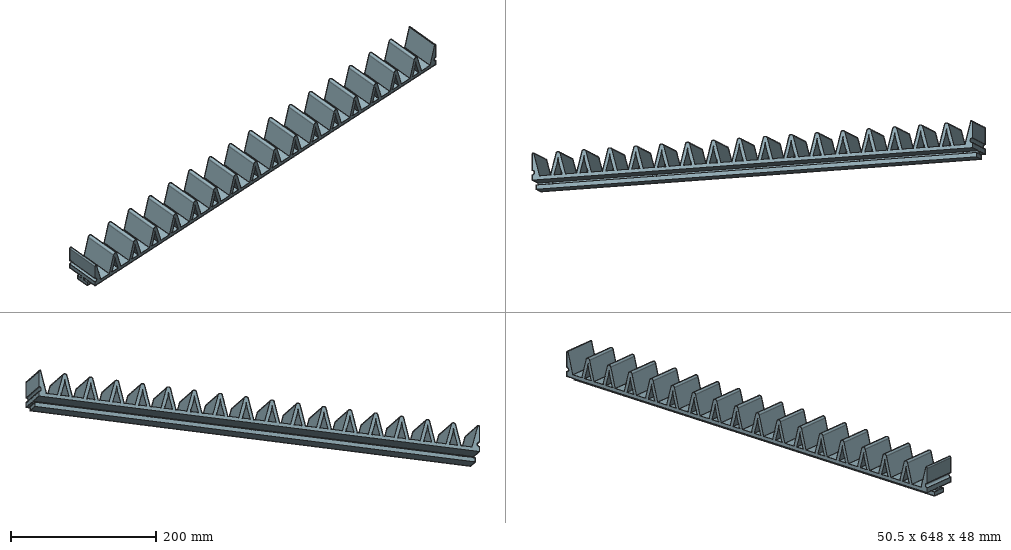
import cadquery as cq
import math

length = 648.0
width = 50.5
height = 48.0

foot_width = 19.5
foot_height = 6.1
neck_width = 5.0
neck_height = 4.0
plate_thickness = 5.3
plate_bottom = foot_height + neck_height
plate_top = plate_bottom + plate_thickness

pad_width = 6.5
pad_length = 6.0
pad_count = 5
teeth_per_pad = 4

tooth_count = 16
pitch = length / (tooth_count + 1)
tooth_top = 47.0
tooth_half_base = 11.0
flank_angle = math.radians(15)

end_tooth_base = 11.0
end_tip_radius = 2.0

hollow_half_base = 6.0
hollow_half_shoulder = 1.0
hollow_shoulder = 31.0
hollow_apex = 39.0
web_thickness = 6.5

cross_hole_radius = 3.0
cross_hole_height = plate_top + 5.0


def centered_positions(count, spacing):
    """Y positions of evenly spaced features centered on the rail."""
    return [(index - (count - 1) / 2) * spacing for index in range(count)]


def extrude_along_x(outline, thickness=width):
    """Extrude a closed Y-Z outline symmetrically about X = 0."""
    return outline.extrude(thickness / 2, both=True)


def block(x_size, y_size, bottom, top, y=0.0):
    return (
        cq.Workplane("XY")
        .workplane(offset=bottom)
        .center(0, y)
        .rect(x_size, y_size)
        .extrude(top - bottom)
    )


def tooth(y):
    """Full tooth with sloped flanks and a round tip tangent to both of them."""
    sharp_half_tip = tooth_half_base - (tooth_top - plate_top) * math.tan(flank_angle)
    tip_radius = sharp_half_tip / math.tan((math.pi / 2 - flank_angle) / 2)
    tip_half_width = tip_radius * math.cos(flank_angle)
    tip_start = tooth_top - tip_radius * (1 - math.sin(flank_angle))
    outline = (
        cq.Workplane("YZ")
        .moveTo(y - tooth_half_base, plate_top)
        .lineTo(y + tooth_half_base, plate_top)
        .lineTo(y + tip_half_width, tip_start)
        .threePointArc((y, tooth_top), (y - tip_half_width, tip_start))
        .close()
    )
    return extrude_along_x(outline)


def end_tooth(side):
    """Half tooth at the end of the rail; side is -1 or +1 along Y."""
    end = side * length / 2
    tip_width = end_tooth_base - (height - plate_top) * math.tan(flank_angle)
    outline = (
        cq.Workplane("YZ")
        .moveTo(end, plate_top)
        .lineTo(end, height - end_tip_radius)
        .radiusArc((end - side * end_tip_radius, height), -side * end_tip_radius)
        .lineTo(end - side * tip_width, height)
        .lineTo(end - side * end_tooth_base, plate_top)
        .close()
    )
    return extrude_along_x(outline)


def hollow(y):
    """Pointed recess in both sides of a tooth, interrupted by the web."""
    outline = (
        cq.Workplane("YZ")
        .moveTo(y - hollow_half_base, plate_top)
        .lineTo(y + hollow_half_base, plate_top)
        .lineTo(y + hollow_half_shoulder, hollow_shoulder)
        .lineTo(y, hollow_apex)
        .lineTo(y - hollow_half_shoulder, hollow_shoulder)
        .close()
    )
    web = block(web_thickness, 2 * hollow_half_base, plate_top, hollow_apex, y)
    return extrude_along_x(outline).cut(web)


def cross_hole(y):
    outline = cq.Workplane("YZ").center(y, cross_hole_height).circle(cross_hole_radius)
    return extrude_along_x(outline)


result = block(foot_width, length, 0, foot_height)
result = result.union(block(neck_width, length, foot_height, plate_bottom))
result = result.union(block(width, length, plate_bottom, plate_top))

for pad_y in centered_positions(pad_count, teeth_per_pad * pitch):
    result = result.union(block(pad_width, pad_length, foot_height, plate_bottom, pad_y))

for tooth_y in centered_positions(tooth_count, pitch):
    result = result.union(tooth(tooth_y).cut(hollow(tooth_y)).cut(cross_hole(tooth_y)))

for side in (-1, 1):
    result = result.union(end_tooth(side).cut(cross_hole(side * length / 2)))